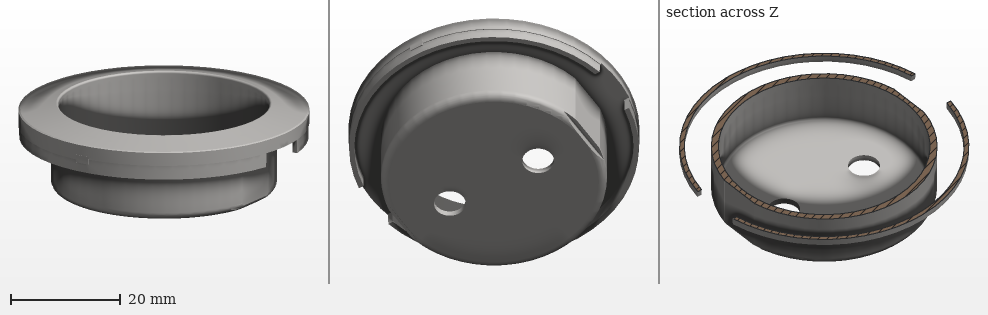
import cadquery as cq

RIM_RADIUS = 26.48
LIP_RADIUS = 26.35
LIP_THICKNESS = 0.95
LIP_BOTTOM = 9.65
RIM_EDGE_HEIGHT = 14.75
RIM_EDGE_CHAMFER = 0.3
RIM_EDGE_RISE = 0.15
CEILING = 12.3
STEP_HEIGHT_LEFT = 11.85
STEP_HEIGHT_RIGHT = CEILING

TOTAL_HEIGHT = 15.97
CUP_RADIUS = 20.58
CUP_BOTTOM_FILLET = 1.5
BORE_RADIUS = 19.2
BORE_RIM_ROUND = 0.4
BORE_FLOOR_FILLET = 0.5
FLOOR_THICKNESS = 1.2

HOLE_DIAMETER = 5.8
HOLE_SPACING = 19.0

NOTCH_TOP_WIDTH = 9.7
NOTCH_BOTTOM_WIDTH = 10.05
FLAT_OFFSET = 20.12
FLAT_WIDTH = 8.45
FOOT_OFFSET = 19.3
FOOT_HEIGHT = 0.97
FOOT_CHAMFER_WIDTH = 0.2
FOOT_CHAMFER_HEIGHT = 0.35

NUB_RADIUS = 26.52
NUB_TOP_WIDTH = 2.75
NUB_BOTTOM_WIDTH = 2.6
NUB_BOTTOM = 11.35
NUB_TOP = 12.8

REACH = 2 * RIM_RADIUS


def disc(radius, bottom, top):
    return cq.Workplane("XY").workplane(offset=bottom).circle(radius).extrude(top - bottom)


def block(x_min, x_max, width, bottom, top):
    return (
        cq.Workplane("XY")
        .box(x_max - x_min, width, top - bottom, centered=(False, True, False))
        .translate((x_min, 0, bottom))
    )


def tapered_bar(plane, bottom_width, top_width, bottom, top):
    """Bar with a trapezoid section, starting on the axis and running outward."""
    outline = [
        (-bottom_width / 2, bottom),
        (bottom_width / 2, bottom),
        (top_width / 2, top),
        (-top_width / 2, top),
    ]
    return cq.Workplane(plane).polyline(outline).close().extrude(REACH)


def make_body():
    """Revolved cup and flange, with the conical top and the open channel inside the lip."""
    lip_inner = LIP_RADIUS - LIP_THICKNESS
    profile = (
        cq.Workplane("XZ")
        .lineTo(CUP_RADIUS - CUP_BOTTOM_FILLET, 0)
        .tangentArcPoint((CUP_RADIUS, CUP_BOTTOM_FILLET), relative=False)
        .lineTo(CUP_RADIUS, CEILING)
        .lineTo(lip_inner, CEILING)
        .lineTo(lip_inner, LIP_BOTTOM)
        .lineTo(RIM_RADIUS, LIP_BOTTOM)
        .lineTo(RIM_RADIUS, RIM_EDGE_HEIGHT)
        .lineTo(RIM_RADIUS - RIM_EDGE_CHAMFER, RIM_EDGE_HEIGHT + RIM_EDGE_RISE)
        .lineTo(BORE_RADIUS + BORE_RIM_ROUND, TOTAL_HEIGHT)
        .radiusArc((BORE_RADIUS, TOTAL_HEIGHT - BORE_RIM_ROUND), -BORE_RIM_ROUND)
        .lineTo(BORE_RADIUS, FLOOR_THICKNESS + BORE_FLOOR_FILLET)
        .tangentArcPoint((BORE_RADIUS - BORE_FLOOR_FILLET, FLOOR_THICKNESS), relative=False)
        .lineTo(0, FLOOR_THICKNESS)
        .close()
    )
    return profile.revolve(360, (0, 0, 0), (0, 1, 0))


def cut_lip_step(body):
    """Set the lower band back; the step sits higher on the +X half."""
    for x_min, step in ((-REACH, STEP_HEIGHT_LEFT), (0, STEP_HEIGHT_RIGHT)):
        ring = disc(REACH, LIP_BOTTOM, step).cut(disc(LIP_RADIUS, LIP_BOTTOM, step))
        half = block(x_min, x_min + REACH, 2 * REACH, LIP_BOTTOM, step)
        body = body.cut(ring.intersect(half))
    return body


def add_nubs(body):
    shell = disc(NUB_RADIUS, NUB_BOTTOM, NUB_TOP).cut(
        disc(LIP_RADIUS - LIP_THICKNESS / 2, NUB_BOTTOM, NUB_TOP)
    )
    nub = tapered_bar("XZ", NUB_BOTTOM_WIDTH, NUB_TOP_WIDTH, NUB_BOTTOM, NUB_TOP).intersect(shell)
    return body.union(nub).union(nub.mirror("XZ"))


def foot_cutter():
    """Cutter for the flat at the foot of the cup, with a chamfer along its bottom edge."""
    outline = [
        (FOOT_OFFSET - FOOT_CHAMFER_WIDTH, 0),
        (FOOT_OFFSET, FOOT_CHAMFER_HEIGHT),
        (FOOT_OFFSET, FOOT_HEIGHT),
        (REACH, FOOT_HEIGHT),
        (REACH, 0),
    ]
    return cq.Workplane("XZ").polyline(outline).close().extrude(RIM_RADIUS, both=True)


def cut_side_notches(body):
    """Open the lip and flatten the cup wall and foot on both X sides."""
    opening = tapered_bar("YZ", NOTCH_BOTTOM_WIDTH, NOTCH_TOP_WIDTH, LIP_BOTTOM, CEILING)
    opening = opening.cut(disc(CUP_RADIUS, LIP_BOTTOM, CEILING))
    flat = block(FLAT_OFFSET, REACH, FLAT_WIDTH, 0, CEILING)
    foot = foot_cutter()
    for cutter in (opening, flat, foot):
        body = body.cut(cutter).cut(cutter.mirror("YZ"))
    return body


def cut_screw_holes(body):
    holes = (
        cq.Workplane("XY")
        .rarray(HOLE_SPACING, 1, 2, 1)
        .circle(HOLE_DIAMETER / 2)
        .extrude(TOTAL_HEIGHT)
    )
    return body.cut(holes)


result = make_body()
result = cut_lip_step(result)
result = add_nubs(result)
result = cut_side_notches(result)
result = cut_screw_holes(result)